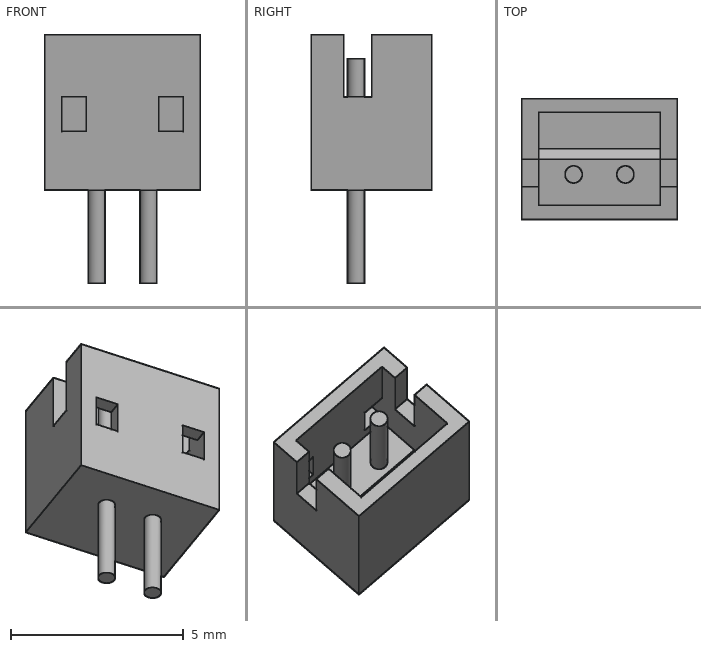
import cadquery as cq

WIDTH = 4.5
DEPTH = 3.5
HEIGHT = 4.5

SIDE_WALL = 0.5
FRONT_WALL = 0.42
BACK_WALL = 0.4
FLOOR_Z = 1.33
SLOPE_FRONT_Y = 1.74
SLOPE_BACK_Y = 2.05
REAR_FLOOR_Z = FLOOR_Z - (SLOPE_BACK_Y - SLOPE_FRONT_Y)

SLOT_FRONT_Y = 0.95
SLOT_WIDTH = 0.8
SLOT_DEPTH = 1.8

WINDOW_WIDTH = 0.7
WINDOW_BOTTOM_Z = 1.7
WINDOW_HEIGHT = 1.0

PIN_DIAMETER = 0.5
PIN_PITCH = 1.5
PIN_Y = 1.3
POST_TOP_Z = 3.8
TAIL_LENGTH = 7.2 - HEIGHT

CAVITY_WIDTH = WIDTH - 2 * SIDE_WALL
CAVITY_BACK_Y = DEPTH - BACK_WALL


def corner_box(width, depth, height, x, y, z):
    """Box centred on x, with its front face at y and its underside at z."""
    return cq.Workplane("XY").box(width, depth, height, centered=(True, False, False)).translate((x, y, z))


def make_cavity():
    """Cavity profile in the YZ plane, extruded across the housing."""
    profile = [
        (FRONT_WALL, HEIGHT),
        (FRONT_WALL, FLOOR_Z),
        (SLOPE_FRONT_Y, FLOOR_Z),
        (SLOPE_BACK_Y, REAR_FLOOR_Z),
        (CAVITY_BACK_Y, REAR_FLOOR_Z),
        (CAVITY_BACK_Y, HEIGHT),
    ]
    return cq.Workplane("YZ").polyline(profile).close().extrude(CAVITY_WIDTH / 2, both=True)


def make_housing():
    body = corner_box(WIDTH, DEPTH, HEIGHT, 0, 0, 0)
    body = body.cut(make_cavity())
    body = body.cut(corner_box(WIDTH, SLOT_WIDTH, SLOT_DEPTH, 0, SLOT_FRONT_Y, HEIGHT - SLOT_DEPTH))
    window_x = (CAVITY_WIDTH - WINDOW_WIDTH) / 2
    for side in (-1, 1):
        window = corner_box(WINDOW_WIDTH, FRONT_WALL, WINDOW_HEIGHT, side * window_x, 0, WINDOW_BOTTOM_Z)
        body = body.cut(window)
    return body


def make_round_pin(x, bottom_z, length):
    """Upright cylinder on the common pin row."""
    return cq.Workplane("XY").circle(PIN_DIAMETER / 2).extrude(length).translate((x, PIN_Y, bottom_z))


def make_post(x):
    return make_round_pin(x, FLOOR_Z, POST_TOP_Z - FLOOR_Z)


def make_tail(x):
    return make_round_pin(x, -TAIL_LENGTH, TAIL_LENGTH)


housing = make_housing()
posts = []
tails = []
for side in (-1, 1):
    pin_x = side * PIN_PITCH / 2
    posts.append(make_post(pin_x).val())
    tails.append(make_tail(pin_x).val())

result = cq.Compound.makeCompound([housing.val(), *posts, *tails])